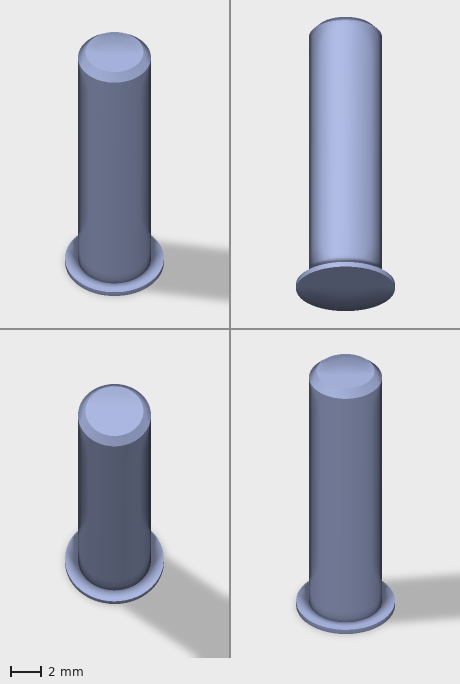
import cadquery as cq

total_height = 19.05
flange_diameter = 6.5
flange_thickness = 0.35
shank_diameter = 4.8
tip_chamfer = 0.5

flange = cq.Workplane("XY").circle(flange_diameter / 2).extrude(flange_thickness)

shank = (
    cq.Workplane("XY")
    .circle(shank_diameter / 2)
    .extrude(total_height)
    .faces(">Z")
    .chamfer(tip_chamfer)
)

result = flange.union(shank)